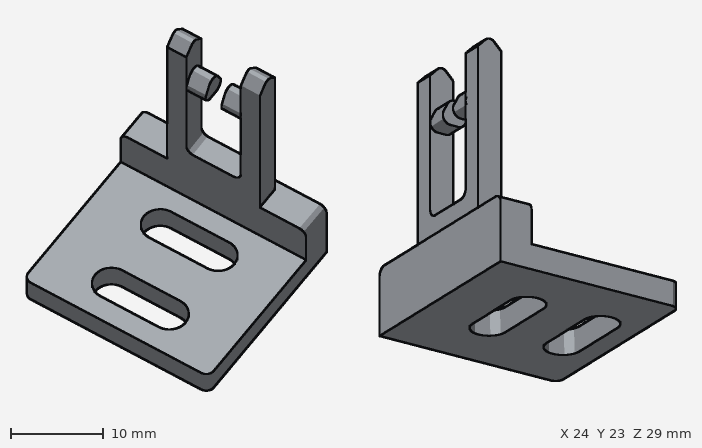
import cadquery as cq
import math

width = 24.0
depth = 23.0
plate_thickness = 3.0
corner_radius = 1.0

wall_thickness = 4.0
wall_height = 7.98
wall_front = depth - wall_thickness

total_height = 29.0
fork_width = 12.0
fork_thickness = 3.0
prong_width = 2.5
notch_floor = 11.0
notch_radius = 1.0
tip_radius = 0.75
shoulder_radius = 0.5
fork_middle = wall_front + fork_thickness / 2
notch_width = fork_width - 2 * prong_width
tip_half_width = tip_radius * math.sqrt(0.5)
slope_top = total_height - tip_radius + tip_half_width
slope_bottom = slope_top - (fork_thickness / 2 - tip_half_width)

pin_length = 2.5
pin_bottom = 21.3
pin_height = 2.95
pin_width = fork_thickness
pin_corner_radius = 1.0

slot_length = 11.7
slot_width = 4.2
first_slot_y = 4.75
slot_spacing = 9.5
slot_count = 2


def make_base():
    plate = (
        cq.Workplane("XY")
        .box(width, depth, plate_thickness, centered=(True, False, False))
        .edges("|Z and <Y")
        .fillet(corner_radius)
    )
    wall = (
        cq.Workplane("XY", origin=(0, wall_front, 0))
        .box(width, wall_thickness, wall_height, centered=(True, False, False))
        .edges("|Y and >Z")
        .fillet(corner_radius)
    )
    slot_centres = [(0, first_slot_y + i * slot_spacing) for i in range(slot_count)]
    slots = (
        cq.Workplane("XY")
        .pushPoints(slot_centres)
        .slot2D(slot_length, slot_width)
        .extrude(plate_thickness)
    )
    return plate.union(wall).cut(slots)


def make_fork_blank():
    """Fork side profile with 45 degree slopes meeting in a round tip, swept across X."""
    back = wall_front + fork_thickness
    return (
        cq.Workplane("YZ", origin=(-fork_width / 2, 0, 0))
        .moveTo(wall_front, 0)
        .lineTo(wall_front, slope_bottom)
        .lineTo(fork_middle - tip_half_width, slope_top)
        .threePointArc((fork_middle, total_height), (fork_middle + tip_half_width, slope_top))
        .lineTo(back, slope_bottom)
        .lineTo(back, 0)
        .close()
        .extrude(fork_width)
    )


def make_fork():
    notch = (
        cq.Workplane("XY", origin=(0, wall_front, notch_floor))
        .box(notch_width, fork_thickness, total_height, centered=(True, False, False))
        .edges("|Y and <Z")
        .fillet(notch_radius)
    )
    fork = make_fork_blank().cut(notch)
    prong_middle = (fork_width - prong_width) / 2
    front_shoulder = cq.selectors.NearestToPointSelector((prong_middle, wall_front, slope_bottom))
    return fork.edges("|X").edges(front_shoulder).fillet(shoulder_radius)


def make_pin(start_x):
    """Pin along X with a triangular section, point up, and rounded corners."""
    half_base = pin_width / 2
    core_half_base = half_base - pin_corner_radius
    core_height = pin_height - 2 * pin_corner_radius
    core_bottom = pin_bottom + pin_corner_radius
    return (
        cq.Workplane("YZ", origin=(start_x, fork_middle, core_bottom))
        .polyline([(-core_half_base, 0), (core_half_base, 0), (0, core_height)])
        .close()
        .offset2D(pin_corner_radius, "arc")
        .extrude(pin_length)
    )


result = make_base().union(make_fork())
for pin_start in (-notch_width / 2, notch_width / 2 - pin_length):
    result = result.union(make_pin(pin_start))